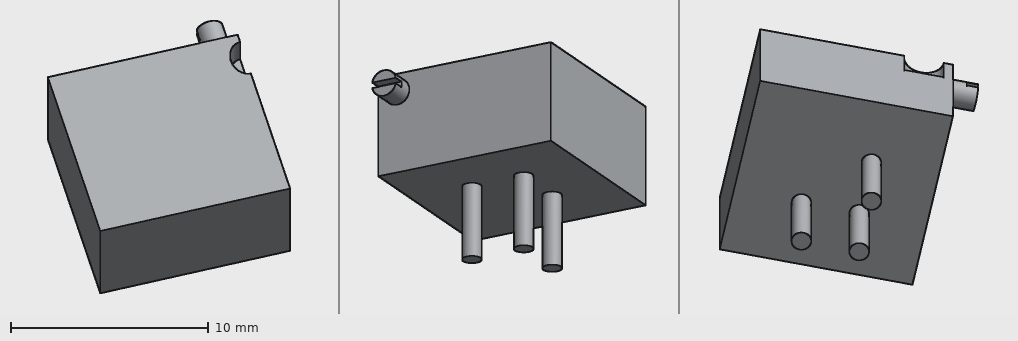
import cadquery as cq


body_side = 10.0
body_height = 5.4
half_side = body_side / 2

shaft_diameter = 1.4
shaft_length = 1.4
shaft_inset = 1.1
shaft_drop = 1.0
shaft_y = half_side - shaft_inset
shaft_z = body_height - shaft_drop

slot_width = 0.3
slot_depth = 0.6

notch_inset = 1.5
notch_x = -half_side + notch_inset
notch_half_width = 1.02
notch_reach = 0.77
notch_depth = 1.5

pin_diameter = 1.0
pin_length = 4.0
pin_offset = 1.5
pin_centres = [
    (-pin_offset, -pin_offset),
    (pin_offset, -pin_offset),
    (-pin_offset, pin_offset),
]


def make_body():
    return cq.Workplane("XY").box(body_side, body_side, body_height, centered=(True, True, False))


def make_notch():
    """Elliptical cutter centred on the +Y wall, so that half of it enters the body."""
    return (
        cq.Workplane("XY", origin=(notch_x, half_side, body_height))
        .ellipse(notch_half_width, notch_reach)
        .extrude(-notch_depth)
    )


def make_shaft():
    """Round shaft along -X with a horizontal slot cut through its free end."""
    shaft = (
        cq.Workplane("YZ", origin=(-half_side, shaft_y, shaft_z))
        .circle(shaft_diameter / 2)
        .extrude(-shaft_length)
    )
    slot = (
        cq.Workplane("YZ", origin=(-half_side - shaft_length, shaft_y, shaft_z))
        .rect(shaft_diameter, slot_width)
        .extrude(slot_depth)
    )
    return shaft.cut(slot)


def make_pins():
    return cq.Workplane("XY").pushPoints(pin_centres).circle(pin_diameter / 2).extrude(-pin_length)


result = make_body().cut(make_notch()).union(make_shaft()).union(make_pins())